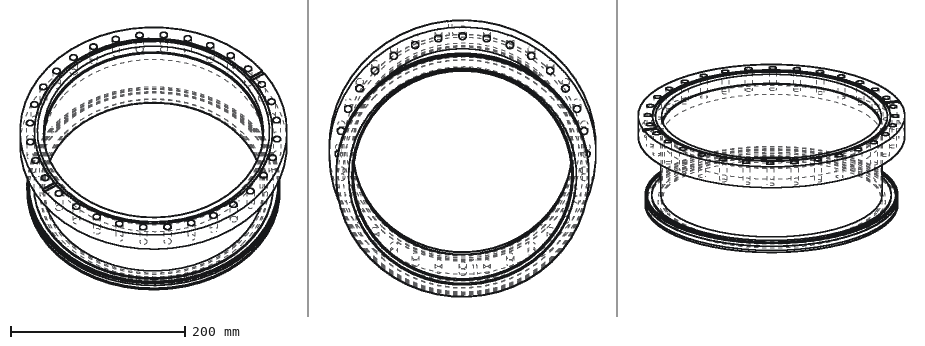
import cadquery as cq

TOTAL_HEIGHT = 110.0

FLANGE_RADIUS = 153.0
FLANGE_THICKNESS = 26.0
FLANGE_BOTTOM_Z = TOTAL_HEIGHT - FLANGE_THICKNESS
FLANGE_BORE_RADIUS = 126.0

RECESS_RADIUS = 136.5
RECESS_WALL_DEPTH = 1.8
KNIFE_RADIUS = 133.0
KNIFE_TIP_DEPTH = 0.5
SEAT_DEPTH = 1.2

BOLT_COUNT = 32
BOLT_CIRCLE_RADIUS = 142.0
BOLT_HOLE_DIAMETER = 8.3
BOLT_PITCH_ANGLE = 360.0 / BOLT_COUNT

LEAK_GROOVE_WIDTH = 4.0
LEAK_GROOVE_DEPTH = 1.5
LEAK_GROOVE_INNER_RADIUS = 135.0
LEAK_GROOVE_ANGLES = (90 + BOLT_PITCH_ANGLE / 2, 270 + BOLT_PITCH_ANGLE / 2)

TUBE_OUTER_RADIUS = 127.0
TUBE_WALL = 1.8
TUBE_INNER_RADIUS = TUBE_OUTER_RADIUS - TUBE_WALL
TUBE_TOP_DEPTH = 13.0
TUBE_TOP_Z = TOTAL_HEIGHT - TUBE_TOP_DEPTH

CLAMP_RADIUS = 145.0
CLAMP_THICKNESS = 12.0
CLAMP_RECESS_RADIUS = 130.7
CLAMP_RECESS_DEPTH = 6.0
CLAMP_CHAMFER = 0.5

RIM_GROOVE_RADIUS = 2.5
RIM_GROOVE_Z = 5.2

CLAW_GROOVE_INNER_RADIUS = 137.5
CLAW_GROOVE_OUTER_RADIUS = 142.5
CLAW_GROOVE_DEPTH = 2.0


def revolve_profile(points):
    """Revolve a closed (radius, z) outline about the Z axis."""
    return cq.Workplane("XZ").polyline(points).close().revolve(360, (0, 0), (0, 1))


def leak_groove(angle):
    """Flat-bottomed radial slot with a rounded inner end, open through the rim."""
    length = FLANGE_RADIUS - LEAK_GROOVE_INNER_RADIUS + LEAK_GROOVE_WIDTH
    return (
        cq.Workplane("XY", origin=(0, 0, TOTAL_HEIGHT - LEAK_GROOVE_DEPTH))
        .center(LEAK_GROOVE_INNER_RADIUS + length / 2, 0)
        .slot2D(length, LEAK_GROOVE_WIDTH)
        .extrude(LEAK_GROOVE_DEPTH)
        .rotate((0, 0, 0), (0, 0, 1), angle)
    )


def make_bolted_flange():
    """Flange with a knife-edge seal, a bolt circle, leak-check grooves and a tube socket below."""
    seat_z = TOTAL_HEIGHT - SEAT_DEPTH
    body = revolve_profile([
        (TUBE_OUTER_RADIUS, FLANGE_BOTTOM_Z),
        (FLANGE_RADIUS, FLANGE_BOTTOM_Z),
        (FLANGE_RADIUS, TOTAL_HEIGHT),
        (RECESS_RADIUS, TOTAL_HEIGHT),
        (RECESS_RADIUS, TOTAL_HEIGHT - RECESS_WALL_DEPTH),
        (KNIFE_RADIUS, TOTAL_HEIGHT - KNIFE_TIP_DEPTH),
        (KNIFE_RADIUS, seat_z),
        (FLANGE_BORE_RADIUS, seat_z),
        (FLANGE_BORE_RADIUS, TUBE_TOP_Z),
        (TUBE_OUTER_RADIUS, TUBE_TOP_Z),
    ])
    holes = (
        cq.Workplane("XY", origin=(0, 0, FLANGE_BOTTOM_Z))
        .polarArray(BOLT_CIRCLE_RADIUS, 0, 360, BOLT_COUNT)
        .circle(BOLT_HOLE_DIAMETER / 2)
        .extrude(FLANGE_THICKNESS)
    )
    body = body.cut(holes)
    for angle in LEAK_GROOVE_ANGLES:
        body = body.cut(leak_groove(angle))
    return body


def make_tube():
    """Plain tube joining the two flanges."""
    return revolve_profile([
        (TUBE_INNER_RADIUS, CLAMP_RECESS_DEPTH),
        (TUBE_OUTER_RADIUS, CLAMP_RECESS_DEPTH),
        (TUBE_OUTER_RADIUS, TUBE_TOP_Z),
        (TUBE_INNER_RADIUS, TUBE_TOP_Z),
    ])


def make_clamp_flange():
    """Thin flange at the foot of the tube, with rim and claw grooves."""
    claw_groove_z = CLAMP_THICKNESS - CLAW_GROOVE_DEPTH
    return (
        cq.Workplane("XZ")
        .moveTo(CLAMP_RECESS_RADIUS, 0)
        .lineTo(CLAMP_RADIUS, 0)
        .lineTo(CLAMP_RADIUS, RIM_GROOVE_Z - RIM_GROOVE_RADIUS)
        .threePointArc(
            (CLAMP_RADIUS - RIM_GROOVE_RADIUS, RIM_GROOVE_Z),
            (CLAMP_RADIUS, RIM_GROOVE_Z + RIM_GROOVE_RADIUS),
        )
        .lineTo(CLAMP_RADIUS, CLAMP_THICKNESS - CLAMP_CHAMFER)
        .lineTo(CLAMP_RADIUS - CLAMP_CHAMFER, CLAMP_THICKNESS)
        .lineTo(CLAW_GROOVE_OUTER_RADIUS, CLAMP_THICKNESS)
        .lineTo(CLAW_GROOVE_OUTER_RADIUS, claw_groove_z)
        .lineTo(CLAW_GROOVE_INNER_RADIUS, claw_groove_z)
        .lineTo(CLAW_GROOVE_INNER_RADIUS, CLAMP_THICKNESS)
        .lineTo(TUBE_OUTER_RADIUS, CLAMP_THICKNESS)
        .lineTo(TUBE_OUTER_RADIUS, CLAMP_RECESS_DEPTH)
        .lineTo(CLAMP_RECESS_RADIUS, CLAMP_RECESS_DEPTH)
        .close()
        .revolve(360, (0, 0), (0, 1))
    )


bolted_flange = make_bolted_flange()
tube = make_tube()
clamp_flange = make_clamp_flange()

result = cq.Compound.makeCompound([bolted_flange.val(), tube.val(), clamp_flange.val()])